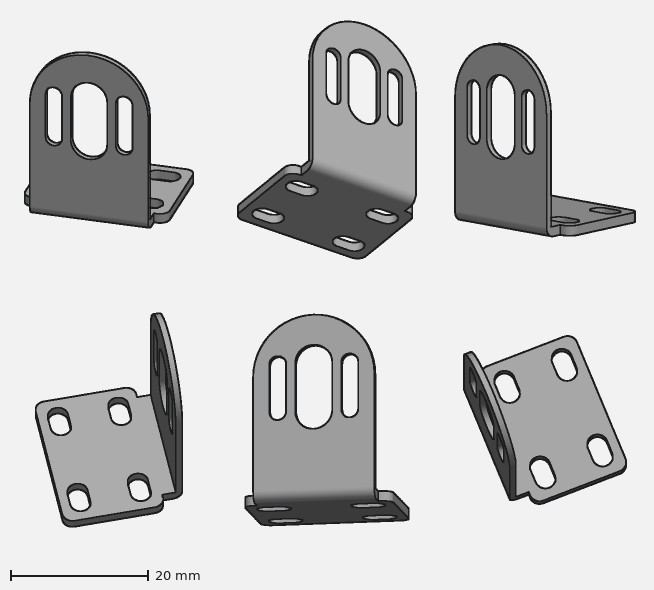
import cadquery as cq

base_width = 22.0
base_depth = 15.0
base_thickness = 1.5
base_corner_radius = 1.5

wall_width = 18.0
wall_thickness = 1.0
total_height = 27.5
total_depth = 18.0
bend_outer_radius = 1.5

base_slot_length = 5.0
base_slot_width = 3.0
base_slot_spacing_x = 14.0
base_slot_spacing_y = 9.0
base_slot_edge_distance = 3.0

wall_slot_travel = 7.0
wall_slot_center_z = 16.765
center_slot_width = 5.5
side_slot_width = 2.5
side_slot_spacing = 10.7


def make_base():
    """Wide plate with rounded corners and a narrower neck that runs from its middle to the wall."""
    base_center_y = total_depth - base_depth / 2
    plate = (
        cq.Workplane("XY")
        .center(0, base_center_y)
        .rect(base_width, base_depth)
        .extrude(base_thickness)
        .edges("|Z")
        .fillet(base_corner_radius)
    )
    neck = cq.Workplane("XY").box(
        wall_width, base_center_y, base_thickness, centered=(True, False, False)
    )
    return plate.union(neck)


def make_wall():
    """Upright plate whose top is a full half circle."""
    half_width = wall_width / 2
    shoulder_z = total_height - half_width
    return (
        cq.Workplane("XZ")
        .moveTo(-half_width, 0)
        .lineTo(half_width, 0)
        .lineTo(half_width, shoulder_z)
        .threePointArc((0, total_height), (-half_width, shoulder_z))
        .close()
        .extrude(-wall_thickness)
    )


def round_bend(bracket):
    """Round the outer edge where the wall meets the base."""
    bend_edge = cq.selectors.NearestToPointSelector((0, 0, 0))
    return bracket.edges(bend_edge).fillet(bend_outer_radius)


def make_base_slots():
    """Four slots, long in X, in a rectangular pattern."""
    pattern_center_y = total_depth - base_slot_edge_distance - base_slot_spacing_y / 2
    return (
        cq.Workplane("XY")
        .center(0, pattern_center_y)
        .rarray(base_slot_spacing_x, base_slot_spacing_y, 2, 2)
        .slot2D(base_slot_length, base_slot_width)
        .extrude(base_thickness)
    )


def make_wall_slot(center_x, width):
    """One upright slot through the wall."""
    return (
        cq.Workplane("XZ")
        .center(center_x, wall_slot_center_z)
        .slot2D(wall_slot_travel + width, width, 90)
        .extrude(-wall_thickness)
    )


bracket = round_bend(make_base().union(make_wall()).clean())
bracket = bracket.cut(make_base_slots())
bracket = bracket.cut(make_wall_slot(0, center_slot_width))
for side in (-1, 1):
    bracket = bracket.cut(make_wall_slot(side * side_slot_spacing / 2, side_slot_width))

result = bracket